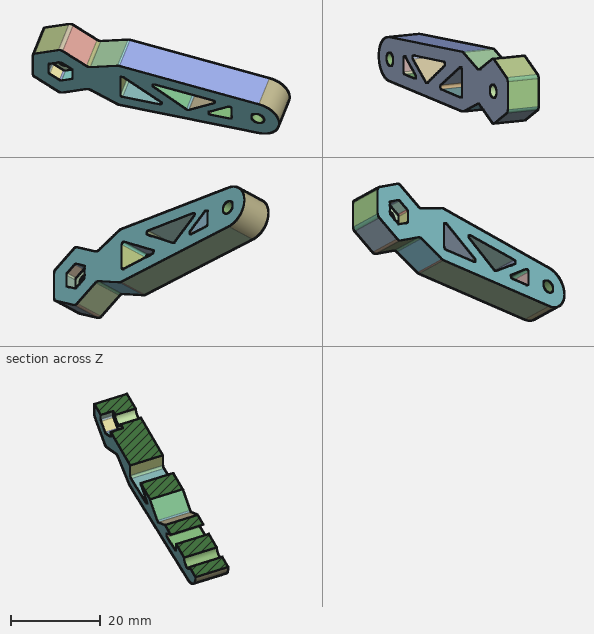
import cadquery as cq
import math

length = 57.5
thickness = 8.0
head_apothem = 6.5
end_radius = 5.0
pivot_x = length - head_apothem - end_radius
hole_diameter = 3.0

shoulder_x = 13.5
shoulder_height = 6.8

small_fillet = 0.5
outline_fillet = 2 * small_fillet

pocket_apothem = 2.75
pocket_depth = 3.0

windows = [
    [(14.0, 3.6), (14.0, -3.75), (24.65, -3.1)],
    [(20.2, 3.35), (36.85, 2.5), (29.65, -2.95)],
    [(39.9, 2.25), (39.9, -2.35), (33.35, -2.7)],
]

front_y = -thickness / 2
back_y = thickness / 2


def plane_at(y):
    """XZ sketch plane at the given Y; extrusions grow toward -Y."""
    return cq.Workplane("XZ", origin=(0, y, 0))


def hexagon_corners(apothem):
    radius = apothem / math.cos(math.pi / 6)
    angles = [math.radians(30 + 60 * i) for i in range(6)]
    return [(radius * math.cos(a), radius * math.sin(a)) for a in angles]


def make_body():
    right_up, top, left_up, left_down, bottom, right_down = hexagon_corners(head_apothem)

    reach = math.hypot(pivot_x - shoulder_x, shoulder_height)
    slope_to_pivot = math.atan2(shoulder_height, pivot_x - shoulder_x)
    taper = slope_to_pivot - math.asin(end_radius / reach)
    tangent_x = pivot_x + end_radius * math.sin(taper)
    tangent_z = end_radius * math.cos(taper)

    body = (
        plane_at(back_y)
        .moveTo(*left_up)
        .lineTo(*top)
        .lineTo(*right_up)
        .lineTo(shoulder_x, shoulder_height)
        .lineTo(tangent_x, tangent_z)
        .threePointArc((pivot_x + end_radius, 0), (tangent_x, -tangent_z))
        .lineTo(shoulder_x, -shoulder_height)
        .lineTo(*right_down)
        .lineTo(*bottom)
        .lineTo(*left_down)
        .close()
        .extrude(thickness)
    )
    before_end = cq.selectors.BoxSelector(
        (-length, -length, -length), (pivot_x, length, length)
    )
    return body.edges("|Y").edges(before_end).fillet(outline_fillet)


def rounded_prism(corners, depth=thickness, base_y=back_y):
    """Polygon with rounded corners, extruded toward the front from base_y."""
    sharp = plane_at(base_y).polyline(corners).close().extrude(depth)
    return sharp.edges("|Y").fillet(small_fillet)


result = make_body()

for window_corners in windows:
    result = result.cut(rounded_prism(window_corners))

pocket_corners = hexagon_corners(pocket_apothem)
result = result.cut(rounded_prism(pocket_corners, pocket_depth, front_y + pocket_depth))

hole_centers = [(0, 0), (pivot_x, 0)]
holes = plane_at(back_y).pushPoints(hole_centers).circle(hole_diameter / 2).extrude(thickness)
result = result.cut(holes)